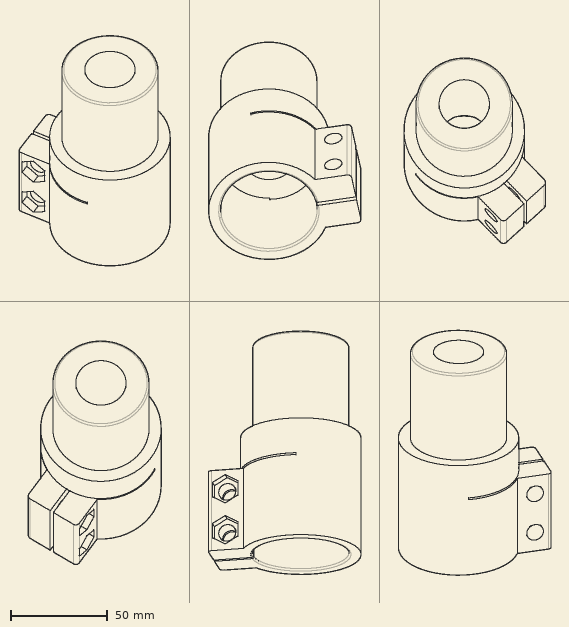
import cadquery as cq
import math

total_height = 114.2
collar_diameter = 62.5
collar_height = 64.1
spigot_diameter = 49.9
edge_radius = 1.0

through_bore_diameter = 26.0
socket_diameter = spigot_diameter

overall_length = 77.2
lug_end_x = collar_diameter / 2 - overall_length
lug_width = 31.3
lug_height = 44.0
lug_corner_radius = 2.2
slit_width = 1.9
relief_cut_height = 1.0
relief_cut_end_x = 4.0
socket_depth = lug_height + relief_cut_height

screw_x = -36.7
screw_heights = (11.0, 33.5)
screw_hole_diameter = 9.0
nut_across_flats = 13.5
nut_pocket_depth = 5.0


def make_body():
    collar = cq.Workplane("XY").circle(collar_diameter / 2).extrude(collar_height)
    spigot = (
        cq.Workplane("XY")
        .circle(spigot_diameter / 2)
        .extrude(total_height)
        .faces(">Z")
        .fillet(edge_radius)
    )
    return collar.union(spigot)


def make_lugs():
    """Block from the collar axis to the lug ends, with rounded outer corners."""
    return (
        cq.Workplane("XY")
        .box(-lug_end_x, lug_width, lug_height, centered=(False, True, False))
        .translate((lug_end_x, 0, 0))
        .edges("|Z and <X")
        .fillet(lug_corner_radius)
    )


def make_bores():
    through_bore = cq.Workplane("XY").circle(through_bore_diameter / 2).extrude(total_height)
    socket = cq.Workplane("XY").circle(socket_diameter / 2).extrude(socket_depth)
    return through_bore.union(socket)


def make_slit():
    """Vertical slit from the lug ends into the socket."""
    return (
        cq.Workplane("XY")
        .box(-lug_end_x, slit_width, lug_height, centered=(False, True, False))
        .translate((lug_end_x, 0, 0))
    )


def make_relief_cut():
    """Horizontal cut above the lugs, reaching just past the axis."""
    length = relief_cut_end_x - lug_end_x
    return (
        cq.Workplane("XY")
        .box(length, collar_diameter, relief_cut_height, centered=(False, True, False))
        .translate((lug_end_x, 0, lug_height))
    )


def make_screw_cut(height):
    """Screw hole through both lugs plus its nut pocket, points up and down."""
    front_face = cq.Workplane("XZ", origin=(screw_x, -lug_width / 2, height))
    hole = front_face.circle(screw_hole_diameter / 2).extrude(-lug_width)
    nut_across_corners = nut_across_flats / math.cos(math.radians(30))
    nut_pocket = (
        front_face.transformed(rotate=(0, 0, 90))
        .polygon(6, nut_across_corners)
        .extrude(-nut_pocket_depth)
    )
    return hole.union(nut_pocket)


result = make_body().union(make_lugs())
result = result.cut(make_bores())
result = result.faces("<Z").edges(cq.selectors.RadiusNthSelector(1)).fillet(edge_radius)
result = result.cut(make_slit()).cut(make_relief_cut())
for screw_height in screw_heights:
    result = result.cut(make_screw_cut(screw_height))